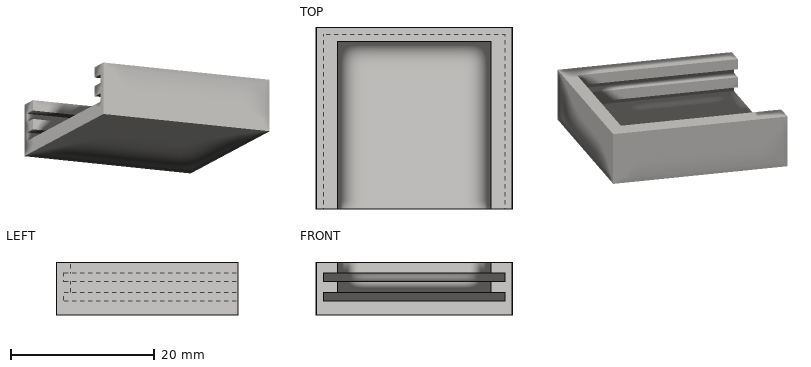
import cadquery as cq

WIDTH = 27.4
DEPTH = 25.4
HEIGHT = 7.4

SLOT_WALL = 1.0
SIDE_RIM = 3.0
BACK_RIM = 2.0

SLOT_HEIGHT = 1.2
LEDGE_HEIGHT = 1.5
FLOOR_HEIGHT = HEIGHT - 2 * (SLOT_HEIGHT + LEDGE_HEIGHT)

SLOT_COUNT = 2
SLOT_PITCH = SLOT_HEIGHT + LEDGE_HEIGHT


def front_block(width, depth, height, bottom):
    """Box centred on X whose front face lies on Y = 0."""
    return cq.Workplane("XY", origin=(0, 0, bottom)).box(
        width, depth, height, centered=(True, False, False)
    )


def opening():
    """Central pocket above the floor, open at the top and the front."""
    return front_block(
        WIDTH - 2 * SIDE_RIM,
        DEPTH - BACK_RIM,
        HEIGHT - FLOOR_HEIGHT,
        FLOOR_HEIGHT,
    )


def card_slot(index):
    """Slot that undercuts the side and back rims, open at the front."""
    return front_block(
        WIDTH - 2 * SLOT_WALL,
        DEPTH - SLOT_WALL,
        SLOT_HEIGHT,
        FLOOR_HEIGHT + index * SLOT_PITCH,
    )


holder = front_block(WIDTH, DEPTH, HEIGHT, 0).cut(opening())
for slot_index in range(SLOT_COUNT):
    holder = holder.cut(card_slot(slot_index))

result = holder